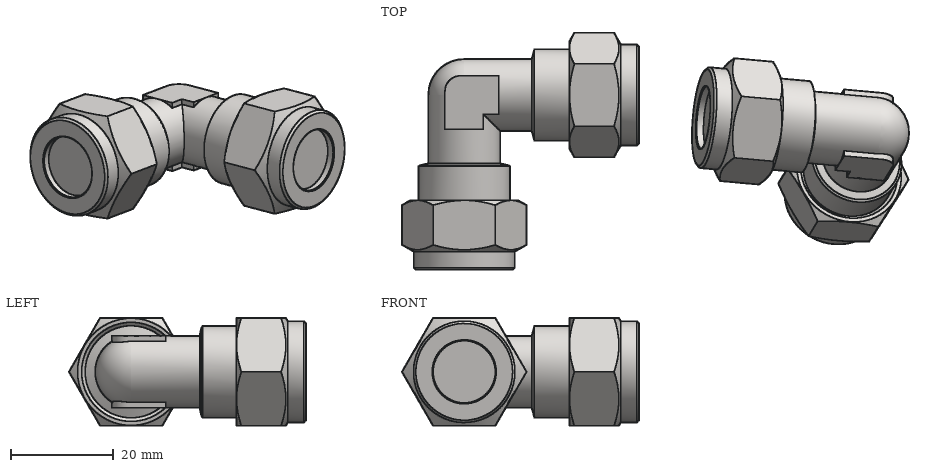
import cadquery as cq
import math

overall_length = 46.1
hex_across_flats = 21.0
hex_across_corners = hex_across_flats / math.cos(math.radians(30))
arm_length = overall_length - hex_across_corners / 2

tube_radius = 7.0
collar_radius = 8.95
x_shoulder = [(13.1, tube_radius), (13.65, collar_radius)]
y_shoulder = [(13.3, tube_radius), (13.6, 8.5), (13.9, collar_radius)]

nut_start = 20.45
nut_length = 10.0
nut_end = nut_start + nut_length
nut_inner_chamfer_radius = 10.42
nut_chamfer_slope = math.tan(math.radians(30))
countersink_radius = 9.65
countersink_depth = countersink_radius - collar_radius

end_ring_radius = 9.85
end_chamfer = 0.45
socket_radius = 6.05
socket_chamfer = 0.2
socket_depth = 1.5

pad_half_width = 3.75
pad_reach = 6.7
pad_corner_radius = 3.0


def turned(profile):
    """Revolve (axial position, radius) points about the X axis."""
    return cq.Workplane("XY").polyline(profile).close().revolve(360, (0, 0, 0), (1, 0, 0))


def make_hex_nut():
    """Hexagon with 30 degree corner chamfers and a countersunk inner mouth."""
    hexagon = (
        cq.Workplane("YZ", origin=(nut_start, 0, 0))
        .polygon(6, hex_across_corners)
        .extrude(nut_length)
    )
    corner_radius = hex_across_corners / 2
    inner_chamfer = (corner_radius - nut_inner_chamfer_radius) * nut_chamfer_slope
    outer_chamfer = (corner_radius - end_ring_radius) * nut_chamfer_slope
    chamfer_envelope = turned([
        (nut_start, 0),
        (nut_start, nut_inner_chamfer_radius),
        (nut_start + inner_chamfer, corner_radius),
        (nut_end - outer_chamfer, corner_radius),
        (nut_end, end_ring_radius),
        (nut_end, 0),
    ])
    countersink = turned([
        (nut_start, 0),
        (nut_start, countersink_radius),
        (nut_start + countersink_depth, collar_radius),
        (nut_start + countersink_depth, 0),
    ])
    return hexagon.intersect(chamfer_envelope).cut(countersink)


def make_arm(shoulder):
    """One complete arm along +X with the given shoulder, starting at the bend centre."""
    core = turned([
        (0, 0),
        (0, tube_radius),
        *shoulder,
        (nut_end - end_chamfer, collar_radius),
        (nut_end - end_chamfer, end_ring_radius),
        (arm_length - end_chamfer, end_ring_radius),
        (arm_length, end_ring_radius - end_chamfer),
        (arm_length, 0),
    ])
    socket = turned([
        (arm_length - socket_depth, 0),
        (arm_length - socket_depth, socket_radius),
        (arm_length - socket_chamfer, socket_radius),
        (arm_length, socket_radius + socket_chamfer),
        (arm_length, 0),
    ])
    return core.union(make_hex_nut()).cut(socket)


def make_pads():
    """L-shaped block through the bend whose ends form the two flat pads."""
    return (
        cq.Workplane("XY", origin=(0, 0, -tube_radius))
        .moveTo(-pad_half_width, -pad_reach)
        .lineTo(pad_half_width, -pad_reach)
        .lineTo(pad_half_width, -pad_half_width)
        .lineTo(pad_reach, -pad_half_width)
        .lineTo(pad_reach, pad_half_width)
        .lineTo(-pad_half_width, pad_half_width)
        .close()
        .extrude(2 * tube_radius)
        .edges("|Z and <X and >Y")
        .fillet(pad_corner_radius)
    )


x_arm = make_arm(x_shoulder)
y_arm = make_arm(y_shoulder).rotate((0, 0, 0), (0, 0, 1), -90)
bend = cq.Workplane("XY").sphere(tube_radius)
result = x_arm.union(y_arm).union(bend).union(make_pads())